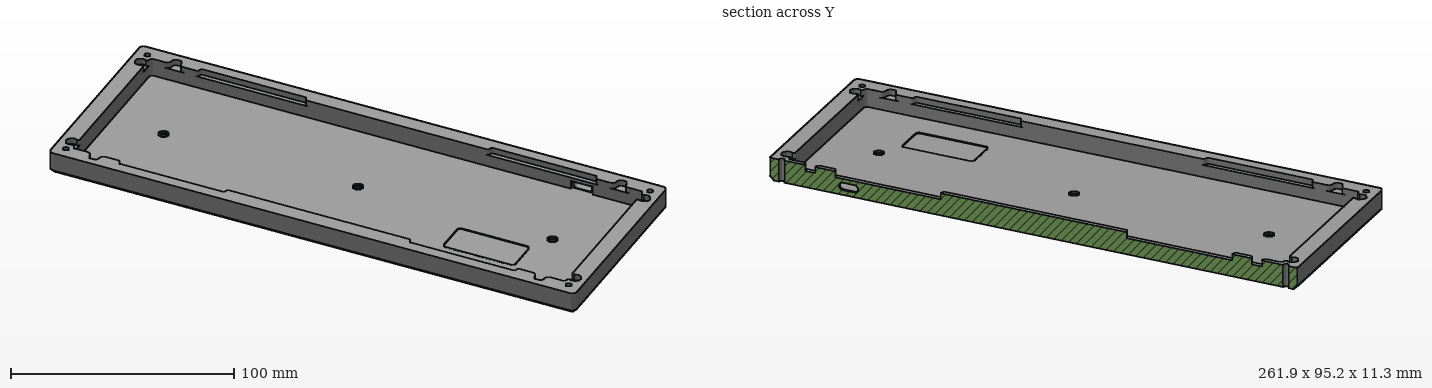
import cadquery as cq
import math

length = 261.89
width = 95.2
height = 11.26
corner_radius = 2.2
bottom_chamfer = 2.0

cavity_length = 245.4
cavity_width = 80.0
cavity_depth = 9.0
cavity_corner_radius = 1.6

relief_center_x = 72.3
relief_length = 53.0
relief_reach = 2.2
relief_tip_radius = 1.1

notch_center_x = 110.8
notch_width = 4.7
notch_reach = 4.1
notch_tip_radius = 1.9

wall_pocket_depth = 3.0

corner_hole_x = 125.1
corner_hole_y = 41.8
corner_hole_diameter = 2.7
seat_x = 125.35
seat_y = 35.5
seat_diameter = 5.27
seat_depth = 3.0
seat_neck_width = 4.4
seat_flare_radius = 0.5
seat_pilot_diameter = 2.08
seat_pilot_depth = 4.0

floor_hole_spacing = 96.8
floor_hole_diameter = 2.7
counterbore_diameter = 4.8
counterbore_depth = 1.0

label_center_x = 72.7
label_center_y = -18.2
label_length = 35.6
label_width = 16.6
label_corner_radius = 1.6
label_depth = 0.5

port_center_x = 91.9
port_recess_width = 10.9
port_recess_height = 4.2
port_recess_reach = 1.2
port_opening_width = 9.2
port_opening_height = 3.4

floor_z = height - cavity_depth
half_cavity_length = cavity_length / 2
half_cavity_width = cavity_width / 2
wall_thickness = (width - cavity_width) / 2


def make_body():
    """Rounded block with a chamfered bottom edge."""
    block = cq.Workplane("XY").box(length, width, height, centered=(True, True, False))
    return block.edges("|Z").fillet(corner_radius).faces("<Z").chamfer(bottom_chamfer)


def sunk_prism(outline, top_z, depth):
    """Cutter made of a closed outline, reaching down from top_z."""
    return outline.extrude(-depth).translate((0, 0, top_z))


def make_cavity():
    """Main cavity cutter with rounded upright corners."""
    outline = cq.Workplane("XY").rect(cavity_length, cavity_width)
    return sunk_prism(outline, height, cavity_depth).edges("|Z").fillet(cavity_corner_radius)


def wall_pocket(center_x, pocket_width, reach, tip_radius):
    """Pocket in the back wall: rounded far corners, and a mouth that flares into the cavity wall."""
    flare_radius = reach - tip_radius
    half_width = pocket_width / 2
    half_tip = half_width - tip_radius
    half_mouth = half_width + flare_radius
    arc_point = math.cos(math.radians(45))
    mouth_y = half_cavity_width
    waist_y = mouth_y + flare_radius
    tip_y = mouth_y + reach

    def flare_middle(side):
        return (side * (half_mouth - flare_radius * arc_point), waist_y - flare_radius * arc_point)

    def tip_middle(side):
        return (side * (half_tip + tip_radius * arc_point), waist_y + tip_radius * arc_point)

    outline = (
        cq.Workplane("XY")
        .moveTo(-half_mouth, mouth_y)
        .threePointArc(flare_middle(-1), (-half_width, waist_y))
        .threePointArc(tip_middle(-1), (-half_tip, tip_y))
        .lineTo(half_tip, tip_y)
        .threePointArc(tip_middle(1), (half_width, waist_y))
        .threePointArc(flare_middle(1), (half_mouth, mouth_y))
        .close()
    )
    return sunk_prism(outline, height, wall_pocket_depth).translate((center_x, 0, 0))


def make_relief():
    """Long relief in the back wall, at +X."""
    return wall_pocket(relief_center_x, relief_length, relief_reach, relief_tip_radius)


def make_notch():
    """Clip notch in the back wall, at +X."""
    return wall_pocket(notch_center_x, notch_width, notch_reach, notch_tip_radius)


def make_corner_cuts():
    """Through hole plus a screw seat that opens into the cavity, at the +X +Y corner."""
    through_hole = cq.Workplane("XY").center(corner_hole_x, corner_hole_y).circle(corner_hole_diameter / 2)
    cuts = through_hole.extrude(height)

    seat_radius = seat_diameter / 2
    seat = cq.Workplane("XY").center(seat_x, seat_y).circle(seat_radius)
    cuts = cuts.union(sunk_prism(seat, height, seat_depth))

    neck_half_width = seat_neck_width / 2
    flared_half_width = neck_half_width + seat_flare_radius
    flare_start_x = half_cavity_length + seat_flare_radius
    mouth = (
        cq.Workplane("XY")
        .center(0, seat_y)
        .moveTo(seat_x, neck_half_width)
        .lineTo(flare_start_x, neck_half_width)
        .radiusArc((half_cavity_length, flared_half_width), seat_flare_radius)
        .lineTo(half_cavity_length, -flared_half_width)
        .radiusArc((flare_start_x, -neck_half_width), seat_flare_radius)
        .lineTo(seat_x, -neck_half_width)
        .close()
    )
    cuts = cuts.union(sunk_prism(mouth, height, seat_depth))

    pilot = cq.Workplane("XY").center(seat_x, seat_y).circle(seat_pilot_diameter / 2)
    return cuts.union(sunk_prism(pilot, height - seat_depth, seat_pilot_depth))


def cut_floor_holes(body):
    """Row of through holes, each counterbored from the cavity floor."""
    centers = [(-floor_hole_spacing, 0), (0, 0), (floor_hole_spacing, 0)]
    plane = cq.Workplane("XY").workplane(offset=floor_z).pushPoints(centers)
    holes = plane.circle(floor_hole_diameter / 2).extrude(-floor_z)
    bores = plane.circle(counterbore_diameter / 2).extrude(-counterbore_depth)
    return body.cut(holes).cut(bores)


def make_label_recess():
    """Shallow rounded rectangle sunk into the cavity floor."""
    outline = cq.Workplane("XY").center(label_center_x, label_center_y).rect(label_length, label_width)
    return sunk_prism(outline, floor_z, label_depth).edges("|Z").fillet(label_corner_radius)


def make_port():
    """Recess standing on the cavity floor, and the opening from it through the back wall."""
    recess = cq.Workplane("XY").box(
        port_recess_width, port_recess_reach, port_recess_height, centered=(True, False, False)
    )
    opening = (
        cq.Workplane("XZ")
        .center(0, port_recess_height / 2)
        .slot2D(port_opening_width, port_opening_height)
        .extrude(-wall_thickness)
    )
    return recess.union(opening).translate((port_center_x, half_cavity_width, floor_z))


def cut_on_front_and_back(body, cutter):
    """Cut with a back-wall cutter and with its mirror image at the front."""
    return body.cut(cutter).cut(cutter.mirror("XZ"))


def cut_on_all_quarters(body, cutter):
    """Cut with a +X +Y cutter and with its mirror images in the other three quarters."""
    body = cut_on_front_and_back(body, cutter)
    return cut_on_front_and_back(body, cutter.mirror("YZ"))


result = make_body().cut(make_cavity())
for quarter_cutter in (make_relief(), make_notch(), make_corner_cuts()):
    result = cut_on_all_quarters(result, quarter_cutter)
result = cut_floor_holes(result)
result = result.cut(make_label_recess())
result = result.cut(make_port())